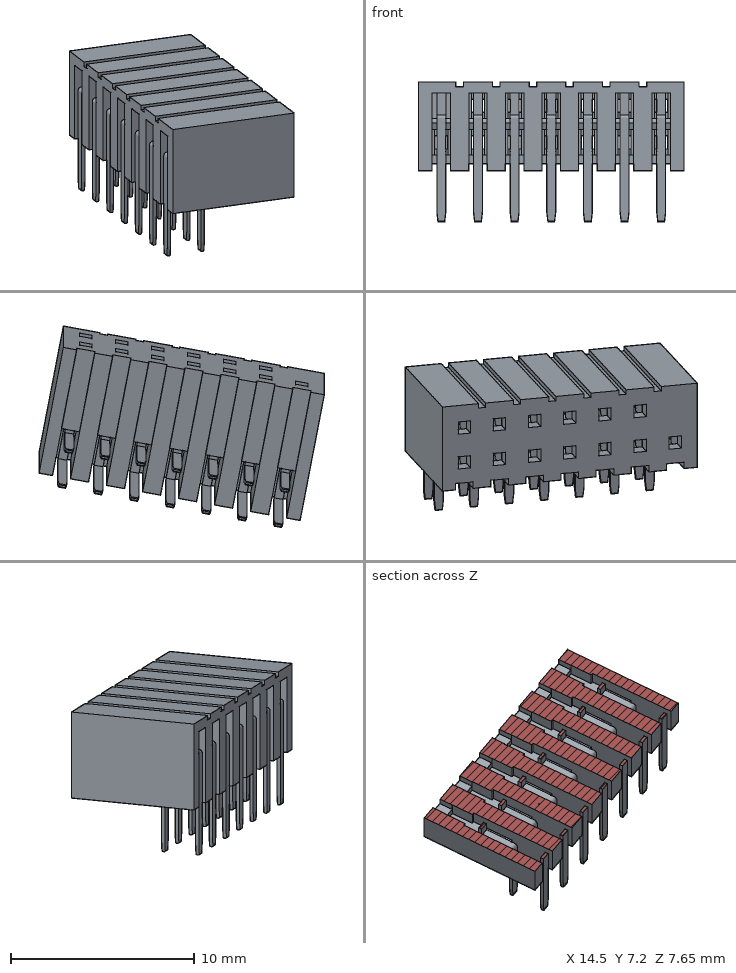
import cadquery as cq
import math

positions = 7
pitch = 2.0
row_pitch = 2.0

length = 14.5
depth = 7.2
height = 4.85
front = -depth / 2
back = depth / 2
groove_width = 0.4
groove_depth = 0.25

slot_width = 1.0
channel_height = 0.37
core_front = -1.0
cavity_height = 1.4
lower_row_height = 1.55
row_heights = [lower_row_height, lower_row_height + row_pitch]
throat_width = 0.73
throat_start = 1.5
face_wall = 0.8
window_size = 0.7
web_nose_rise = 0.24
web_nose_sweep = math.radians(60)
web_underside_lean = math.radians(20)

pin_width = 0.5
pin_thickness = 0.2
pin_inset = 0.1
pin_length = 2.8
tip_width = 0.37
tip_length = 0.55
tip_chamfer = 0.05
upright_front = 0.5
upright_round = 0.1
row_pin_fronts = [front + pin_inset + row_pitch, front + pin_inset]

slot_top = row_heights[1] + cavity_height / 2
web_bottom = row_heights[0] + cavity_height / 2
web_top = row_heights[1] - cavity_height / 2
nose_height = web_top - web_nose_rise
nose_back = core_front + (nose_height - web_bottom) * math.tan(web_underside_lean)
nose_radius = web_nose_rise / math.sin(web_nose_sweep)
column_positions = [(i - (positions - 1) / 2) * pitch for i in range(positions)]


def block(x, width, y_start, y_end, z_bottom, z_top):
    """Box centred on x, spanning the given Y and Z limits."""
    box = cq.Workplane("XY").box(width, y_end - y_start, z_top - z_bottom, centered=(True, False, False))
    return box.translate((x, y_start, z_bottom))


def side_profile(x, width):
    """YZ workplane placed for a profile of the given width centred on x."""
    return cq.Workplane("YZ").workplane(offset=x - width / 2)


def arc_height_and_run(angle):
    """Height and run from the tip of the web nose to a point on its curved edge."""
    return nose_radius * math.sin(angle), nose_radius * (1 - math.cos(angle))


def web(x):
    """Web between the rows: front edge curved above its tip, sloping back below."""
    mid_rise, mid_run = arc_height_and_run(web_nose_sweep / 2)
    end_rise, end_run = arc_height_and_run(web_nose_sweep)
    return (
        side_profile(x, slot_width)
        .moveTo(core_front, nose_height)
        .threePointArc(
            (core_front + mid_run, nose_height + mid_rise),
            (core_front + end_run, nose_height + end_rise),
        )
        .lineTo(throat_start, web_top)
        .lineTo(throat_start, web_bottom)
        .lineTo(nose_back, web_bottom)
        .close()
        .extrude(slot_width)
    )


def column_cutout(x, upper_window):
    """Slot, channel, cavities and mating windows of one column."""
    cutout = block(x, slot_width, front, core_front, 0, slot_top)
    cutout = cutout.union(block(x, slot_width, front, back, 0, channel_height))
    cutout = cutout.union(block(x, slot_width, core_front, throat_start, web_bottom, web_top))
    window_open = [True, upper_window]
    for centre, is_open in zip(row_heights, window_open):
        bottom = centre - cavity_height / 2
        top = centre + cavity_height / 2
        cutout = cutout.union(block(x, slot_width, core_front, throat_start, bottom, top))
        if not is_open:
            continue
        throat = block(x, throat_width, throat_start, back - face_wall, bottom, top)
        window_bottom = centre - window_size / 2
        window = block(x, window_size, back - face_wall, back, window_bottom, window_bottom + window_size)
        cutout = cutout.union(throat).union(window)
    return cutout.cut(web(x))


def contact(x, pin_front, row_centre):
    """Bent contact: pin, leg along the cavity floor and an upright reaching the ceiling."""
    tip = -pin_length
    floor = row_centre - cavity_height / 2
    ceiling = row_centre + cavity_height / 2
    pin_back = pin_front + pin_thickness
    leg_top = floor + pin_thickness
    bend_mid = pin_thickness * math.sqrt(0.5)
    round_mid = upright_round * (1 - math.sqrt(0.5))
    bent_strip = (
        side_profile(x, pin_width)
        .moveTo(pin_front, tip + tip_chamfer)
        .lineTo(pin_front, floor)
        .threePointArc((pin_back - bend_mid, floor + bend_mid), (pin_back, leg_top))
        .lineTo(upright_front, leg_top)
        .lineTo(upright_front, ceiling - upright_round)
        .threePointArc(
            (upright_front + round_mid, ceiling - round_mid),
            (upright_front + upright_round, ceiling),
        )
        .lineTo(upright_front + pin_thickness, ceiling)
        .lineTo(upright_front + pin_thickness, floor)
        .lineTo(pin_back, floor)
        .lineTo(pin_back, tip + tip_chamfer)
        .lineTo(pin_back - tip_chamfer, tip)
        .lineTo(pin_front + tip_chamfer, tip)
        .close()
        .extrude(pin_width)
    )
    tapered_outline = (
        cq.Workplane("XZ", origin=(x, back, 0))
        .moveTo(-tip_width / 2, tip)
        .lineTo(tip_width / 2, tip)
        .lineTo(pin_width / 2, tip + tip_length)
        .lineTo(pin_width / 2, ceiling)
        .lineTo(-pin_width / 2, ceiling)
        .lineTo(-pin_width / 2, tip + tip_length)
        .close()
        .extrude(depth)
    )
    return bent_strip.intersect(tapered_outline)


def housing():
    """Block with grooves across the top between the columns and a cutout per column."""
    body = block(0, length, front, back, 0, height)
    for x in column_positions[:-1]:
        groove = block(x + pitch / 2, groove_width, front, back, height - groove_depth, height)
        body = body.cut(groove)
    for index, x in enumerate(column_positions):
        body = body.cut(column_cutout(x, upper_window=index > 0))
    return body


result = housing()
for column_x in column_positions:
    for pin_front_y, row_height in zip(row_pin_fronts, row_heights):
        result = result.union(contact(column_x, pin_front_y, row_height))